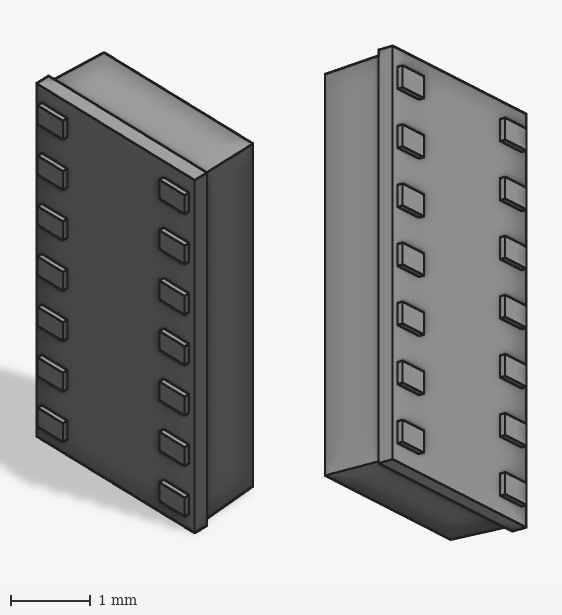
import cadquery as cq
import math

board_width = 2.8
board_height = 5.6
board_thickness = 0.22

cap_margin = 0.05
cap_depth = 0.9
cap_draft = 2.0

pad_width = 0.45
pad_height = 0.295
pad_thickness = 0.08
pad_edge_gap = 0.1
pads_per_column = 7
pad_pitch = board_height / pads_per_column

board_front = pad_thickness
board_back = board_front + board_thickness


def make_board():
    size = (board_width, board_thickness, board_height)
    return cq.Workplane("XY").box(*size).translate((0, board_front + board_thickness / 2, 0))


def make_cap():
    """Tapered block whose four sides lean inwards by the draft angle."""
    taper_inset = cap_depth * math.tan(math.radians(cap_draft))
    base_width = board_width - 2 * cap_margin
    base_height = board_height - 2 * cap_margin
    return (
        cq.Workplane("XZ", origin=(0, board_back, 0))
        .rect(base_width, base_height)
        .workplane(offset=-cap_depth)
        .rect(base_width - 2 * taper_inset, base_height - 2 * taper_inset)
        .loft(ruled=True)
    )


def make_pads():
    """Two columns of rectangular pads standing off the board front."""
    column_spacing = board_width - 2 * pad_edge_gap - pad_width
    return (
        cq.Workplane("XZ", origin=(0, board_front, 0))
        .rarray(column_spacing, pad_pitch, 2, pads_per_column)
        .rect(pad_width, pad_height)
        .extrude(pad_thickness)
    )


result = make_board().union(make_cap()).union(make_pads())